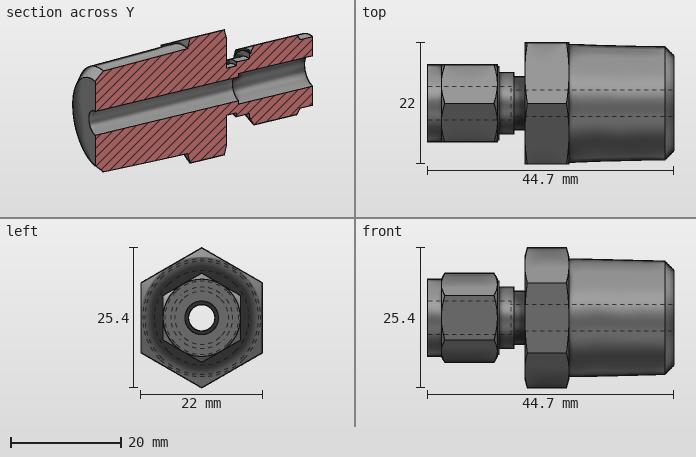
import cadquery as cq
import math


nut_hex_start = 2.55
nut_hex_end = 12.7
nut_end = 13.0
shoulder_end = 15.7
body_hex_start = 17.65
body_hex_end = 25.65
taper_start = 26.7
tip_chamfer_start = 43.0
length = 44.7

nut_flats = 14.0
nut_chamfer_angle = 30
nut_rim_radius = 6.65

shoulder_radius = 5.6
neck_radius = 4.83

body_flats = 22.0
body_chamfer_angle = 15

collar_radius = 10.7
taper_end_radius = 10.3
tip_chamfer = length - tip_chamfer_start

bore_radius = 2.35
socket_radius = 3.05
socket_depth = 15.2


def turned(outline):
    """Solid of revolution about X from an outer outline of (station, radius) points."""
    first_station = outline[0][0]
    last_station = outline[-1][0]
    profile = [(first_station, 0), *outline, (last_station, 0)]
    return cq.Workplane("XZ").polyline(profile).close().revolve(360, (0, 0, 0), (1, 0, 0))


def cylinder(radius, start, end):
    """Solid cylinder on the X axis between two stations."""
    return turned([(start, radius), (end, radius)])


def chamfered_hexagon(flats, start, end, chamfer_angle):
    """Hexagon with corners at top and bottom, both ends coned down to the flats."""
    flat_radius = flats / 2
    corner_radius = flats / math.sqrt(3)
    chamfer_length = (corner_radius - flat_radius) * math.tan(math.radians(chamfer_angle))
    hexagon = (
        cq.Workplane("YZ", origin=(start, 0, 0))
        .polygon(6, 2 * corner_radius)
        .extrude(end - start)
        .rotate((0, 0, 0), (1, 0, 0), 90)
    )
    envelope = turned([
        (start, flat_radius),
        (start + chamfer_length, corner_radius),
        (end - chamfer_length, corner_radius),
        (end, flat_radius),
    ])
    return hexagon.intersect(envelope)


def compression_nut():
    """Nut hexagon with a round collar in front and a thin round rim behind."""
    collar = cylinder(nut_flats / 2, 0, nut_hex_start)
    hexagon = chamfered_hexagon(nut_flats, nut_hex_start, nut_hex_end, nut_chamfer_angle)
    rim = cylinder(nut_rim_radius, nut_hex_end, nut_end)
    return collar.union(hexagon).union(rim)


def necks():
    """Stepped round necks joining the nut to the body hexagon."""
    shoulder = cylinder(shoulder_radius, nut_end, shoulder_end)
    neck = cylinder(neck_radius, shoulder_end, body_hex_start)
    return shoulder.union(neck)


def threaded_end():
    """Plain collar, taper and chamfered tip turned as one profile."""
    return turned([
        (body_hex_end, collar_radius),
        (taper_start, collar_radius),
        (tip_chamfer_start, taper_end_radius),
        (length, taper_end_radius - tip_chamfer),
    ])


body_hexagon = chamfered_hexagon(body_flats, body_hex_start, body_hex_end, body_chamfer_angle)
fitting = compression_nut().union(necks()).union(body_hexagon).union(threaded_end())

bore = cylinder(bore_radius, 0, length)
socket = cylinder(socket_radius, 0, socket_depth)
result = fitting.cut(bore).cut(socket)